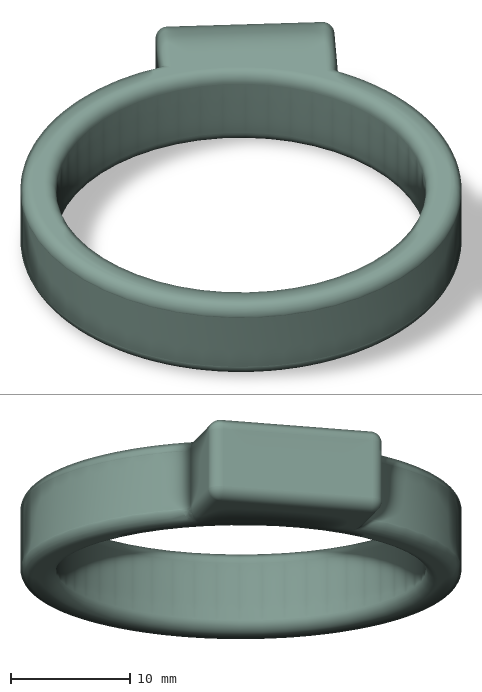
import cadquery as cq
import math

inner_diameter = 31.0
outer_diameter = 36.95
height = 7.0
edge_radius = 1.0

head_angle = 27.3
head_left = 6.0
head_right = 9.0
head_reach = 23.35

outer_radius = outer_diameter / 2


def ring_blank():
    return cq.Workplane("XY").circle(outer_radius).extrude(height)


def head_block():
    """Block running out from the ring axis, with its two outer corners rounded."""
    block = (
        cq.Workplane("XY")
        .box(head_left + head_right, head_reach, height, centered=False)
        .translate((-head_left, 0, 0))
        .edges("|Z and >Y")
        .fillet(edge_radius)
    )
    return block.rotate((0, 0, 0), (0, 0, 1), head_angle)


def right_notch_selector():
    """Picks the upright edge where the right side of the head meets the ring."""
    along_head = math.sqrt(outer_radius**2 - head_right**2)
    turn = math.radians(head_angle)
    notch_x = head_right * math.cos(turn) - along_head * math.sin(turn)
    notch_y = head_right * math.sin(turn) + along_head * math.cos(turn)
    return cq.selectors.NearestToPointSelector((notch_x, notch_y, height / 2))


def marker_ring():
    """Ring and head in one piece; the right notch is filleted last, so its fillet fades into the rims."""
    bore = cq.Workplane("XY").circle(inner_diameter / 2).extrude(height)
    sharp = ring_blank().union(head_block()).cut(bore)
    rounded = sharp.faces("<Z or >Z").edges().fillet(edge_radius)
    return rounded.edges("|Z").edges(right_notch_selector()).fillet(edge_radius)


ring = marker_ring()
result = cq.Compound.makeCompound([ring.val()])